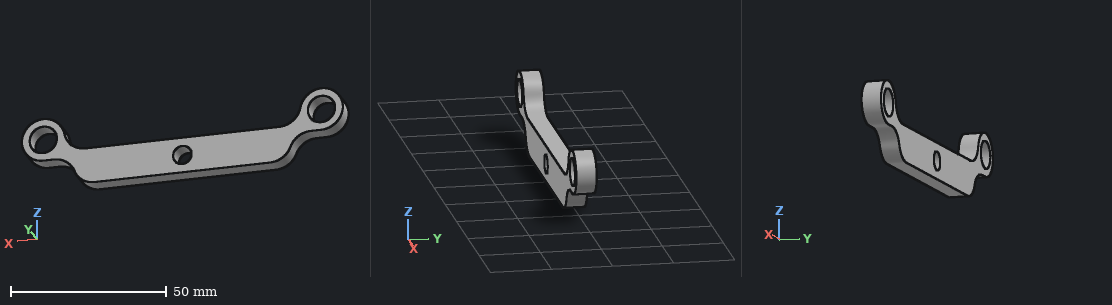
import cadquery as cq
import math

LENGTH = 108.0
THICKNESS = 6.7
HEIGHT = 23.9
LUG_RADIUS = 7.2
LUG_HOLE_DIAMETER = 9.1
BAR_HEIGHT = 12.1
CENTER_HOLE_DIAMETER = 6.2
BLEND_RADIUS = 7.2
LOWER_BEND_X = 36.4

LUG_X = LENGTH / 2 - LUG_RADIUS
LUG_Z = HEIGHT - LUG_RADIUS
LUG_BOTTOM = LUG_Z - LUG_RADIUS

upper_center_z = BAR_HEIGHT + BLEND_RADIUS
center_distance = LUG_RADIUS + BLEND_RADIUS
upper_center_x = LUG_X - math.sqrt(center_distance**2 - (upper_center_z - LUG_Z) ** 2)
lug_share = LUG_RADIUS / center_distance
upper_tangent_x = LUG_X + (upper_center_x - LUG_X) * lug_share
upper_tangent_z = LUG_Z + (upper_center_z - LUG_Z) * lug_share

bend_turn = math.acos(1 - LUG_BOTTOM / (2 * BLEND_RADIUS))
bend_half_width = BLEND_RADIUS * math.sin(bend_turn)
bend_inner_x = LOWER_BEND_X - bend_half_width
bend_outer_x = LOWER_BEND_X + bend_half_width


def point_on_arc(center_x, center_z, radius, angle):
    """Point at an angle measured in radians from +X towards +Z."""
    return center_x + radius * math.cos(angle), center_z + radius * math.sin(angle)


def mirrored(point):
    return -point[0], point[1]


def link_outline():
    """Closed outline, running counterclockwise from the bottom right of the bar."""
    bottom_end = (bend_inner_x, 0)
    bend_middle = (LOWER_BEND_X, LUG_BOTTOM / 2)
    lug_bottom_start = (bend_outer_x, LUG_BOTTOM)
    lug_bottom_end = (LUG_X, LUG_BOTTOM)
    lug_tip = (LENGTH / 2, LUG_Z)
    lug_tangent = (upper_tangent_x, upper_tangent_z)
    top_end = (upper_center_x, BAR_HEIGHT)

    convex_mid = point_on_arc(bend_inner_x, BLEND_RADIUS, BLEND_RADIUS, (bend_turn - math.pi) / 2)
    concave_mid = point_on_arc(
        bend_outer_x, LUG_BOTTOM - BLEND_RADIUS, BLEND_RADIUS, (bend_turn + math.pi) / 2
    )
    tangent_angle = math.atan2(LUG_Z - upper_center_z, LUG_X - upper_center_x)
    upper_mid = point_on_arc(
        upper_center_x, upper_center_z, BLEND_RADIUS, (tangent_angle - math.pi / 2) / 2
    )

    return (
        cq.Workplane("XZ", origin=(0, THICKNESS / 2, 0))
        .moveTo(*bottom_end)
        .threePointArc(convex_mid, bend_middle)
        .threePointArc(concave_mid, lug_bottom_start)
        .lineTo(*lug_bottom_end)
        .threePointArc(lug_tip, lug_tangent)
        .threePointArc(upper_mid, top_end)
        .lineTo(*mirrored(top_end))
        .threePointArc(mirrored(upper_mid), mirrored(lug_tangent))
        .threePointArc(mirrored(lug_tip), mirrored(lug_bottom_end))
        .lineTo(*mirrored(lug_bottom_start))
        .threePointArc(mirrored(concave_mid), mirrored(bend_middle))
        .threePointArc(mirrored(convex_mid), mirrored(bottom_end))
        .close()
    )


def through_hole(x, z, diameter):
    return (
        cq.Workplane("XZ", origin=(0, THICKNESS / 2, 0))
        .center(x, z)
        .circle(diameter / 2)
        .extrude(THICKNESS)
    )


def make_link():
    link = link_outline().extrude(THICKNESS)
    for side in (-1, 1):
        link = link.cut(through_hole(side * LUG_X, LUG_Z, LUG_HOLE_DIAMETER))
    return link.cut(through_hole(0, BAR_HEIGHT / 2, CENTER_HOLE_DIAMETER))


link = make_link()
result = cq.Compound.makeCompound([link.val()])